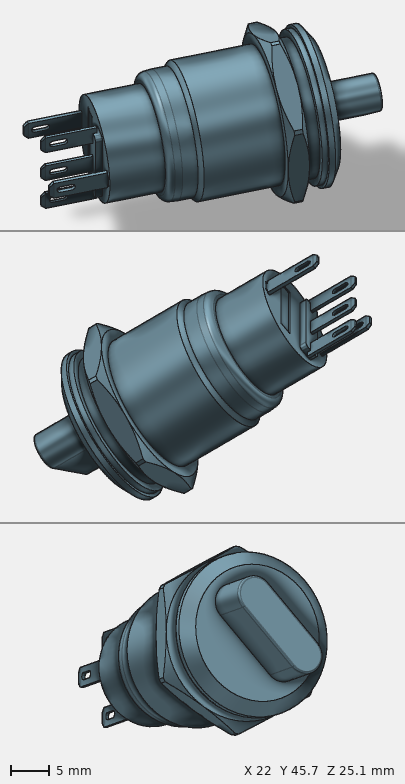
import cadquery as cq
import math

total_length = 45.7

bezel_front = 6.63
bezel_cone_end = 7.85
bezel_back = 8.75
gasket_back = 9.55
nut_front = 11.42
nut_back = 14.35
barrel_back = 26.05
collar_taper_start = 28.15
collar_back = 30.05
base_back = 37.65

bezel_diameter = 22.0
bezel_face_diameter = 18.3
gasket_diameter = 21.0
barrel_diameter = 19.0
collar_diameter = 17.7
collar_end_diameter = 15.5
base_diameter = 14.6
barrel_chamfer = 0.65
collar_round_radius = 1.0

knob_width = 5.1
knob_flat_length = 10.37
knob_angle = 45.0
knob_edge_radius = 0.27

nut_sides = 6
nut_across_flats = 22.0
nut_corner_diameter = 25.05
nut_chamfer_angle = 30.0

rib_x = 2.45
rib_width = 2.65
rib_length = 10.88
rib_height = 0.95
rib_corner_radius = 0.6
recess_x = -2.1
recess_width = 1.95
recess_length = 9.5
recess_depth = 0.2
notch_outer_x = 6.6
notch_length = 1.6

terminal_width = 2.65
terminal_tip_length = 0.6
terminal_tip_bevel = 0.05
terminal_hole_start = 42.1
terminal_hole_end = 44.55
terminal_hole_width = 0.95
contact_thickness = 0.4
contact_pitch = 5.03
contact_start = 38.05
lamp_terminal_x = 6.0
lamp_terminal_thickness = 0.5
lamp_terminal_end = 45.6
lamp_terminal_embed = 0.7


def prism(profile, start, end):
    """Extrude a profile drawn in (x, z) between two axial positions."""
    return profile.extrude(end - start).translate((0, -start, 0))


def cross_section():
    """Sketch plane across the axis; its local x is X and its local y is Z."""
    return cq.Workplane("XZ")


def revolve_about_axis(profile):
    """Turn a half profile drawn in (radius, -axial position) around Y."""
    return profile.close().revolve(360, (0, 0, 0), (0, 1, 0))


def housing():
    """Bezel, gasket, barrel, collar and base turned as one stepped body."""
    round_center_radius = collar_end_diameter / 2
    round_center = collar_back - collar_round_radius

    radial_gap = collar_diameter / 2 - round_center_radius
    axial_gap = round_center - collar_taper_start
    center_distance = math.hypot(radial_gap, axial_gap)
    tangent_angle = math.atan2(radial_gap, -axial_gap) - math.acos(collar_round_radius / center_distance)

    def on_round(angle):
        return (
            round_center_radius + collar_round_radius * math.sin(angle),
            -(round_center + collar_round_radius * math.cos(angle)),
        )

    profile = (
        cq.Workplane("XY")
        .moveTo(0, -bezel_front)
        .lineTo(bezel_face_diameter / 2, -bezel_front)
        .lineTo(bezel_diameter / 2, -bezel_cone_end)
        .lineTo(bezel_diameter / 2, -bezel_back)
        .lineTo(gasket_diameter / 2, -bezel_back)
        .lineTo(gasket_diameter / 2, -gasket_back)
        .lineTo(barrel_diameter / 2, -gasket_back)
        .lineTo(barrel_diameter / 2, -(barrel_back - barrel_chamfer))
        .lineTo(collar_diameter / 2, -barrel_back)
        .lineTo(collar_diameter / 2, -collar_taper_start)
        .lineTo(*on_round(tangent_angle))
        .threePointArc(on_round(tangent_angle / 2), on_round(0))
        .lineTo(base_diameter / 2, -collar_back)
        .lineTo(base_diameter / 2, -base_back)
        .lineTo(0, -base_back)
    )
    return revolve_about_axis(profile)


def knob():
    """Selector bar standing on the bezel, with its outer edge rounded."""
    outline = cross_section().slot2D(knob_flat_length + knob_width, knob_width, knob_angle)
    bar = prism(outline, 0, bezel_front)
    return bar.faces(">Y").edges().fillet(knob_edge_radius)


def nut():
    """Hexagon cut down to a disc whose rims are beveled toward the flats."""
    flat_radius = nut_across_flats / 2
    corner_diameter = nut_across_flats / math.cos(math.pi / nut_sides)
    outline = cross_section().polygon(nut_sides, corner_diameter)
    hexagon = prism(outline, nut_front, nut_back).rotate((0, 0, 0), (0, 1, 0), 180 / nut_sides)
    corner_radius = nut_corner_diameter / 2
    bevel = (corner_radius - flat_radius) * math.tan(math.radians(nut_chamfer_angle))
    disc = revolve_about_axis(
        cq.Workplane("XY")
        .moveTo(0, -nut_front)
        .lineTo(flat_radius, -nut_front)
        .lineTo(corner_radius, -(nut_front + bevel))
        .lineTo(corner_radius, -(nut_back - bevel))
        .lineTo(flat_radius, -nut_back)
        .lineTo(0, -nut_back)
    )
    return hexagon.intersect(disc)


def contact_rib():
    """Raised block with rounded corners that carries the row of contacts."""
    outline = cross_section().center(rib_x, 0).rect(rib_width, rib_length)
    rib = prism(outline, base_back, base_back + rib_height)
    return rib.edges("|Y").fillet(rib_corner_radius)


def face_recess():
    """Shallow rectangular label recess in the base."""
    outline = cross_section().center(recess_x, 0).rect(recess_width, recess_length)
    return prism(outline, base_back - recess_depth, base_back)


def lamp_notch(side):
    """Shallow notch in the base against the outer face of a lamp terminal."""
    width = notch_outer_x - lamp_terminal_x
    center_x = side * (notch_outer_x + lamp_terminal_x) / 2
    outline = cross_section().center(center_x, 0).rect(width, notch_length)
    return prism(outline, base_back - recess_depth, base_back)


def terminal(x, z, thickness, start, end):
    """Flat solder lug with a beveled, corner-cut tip and a wire slot."""
    blade = prism(cross_section().center(x, z).rect(thickness, terminal_width), start, end)
    blade = blade.faces("<Y").edges("|X").chamfer(terminal_tip_length)
    tapered_side = (
        cq.Workplane("XY", origin=(x, 0, z))
        .moveTo(-thickness / 2, -start)
        .lineTo(thickness / 2, -start)
        .lineTo(thickness / 2, terminal_tip_length - end)
        .lineTo(thickness / 2 - terminal_tip_bevel, -end)
        .lineTo(terminal_tip_bevel - thickness / 2, -end)
        .lineTo(-thickness / 2, terminal_tip_length - end)
        .close()
        .extrude(terminal_width / 2, both=True)
    )
    blade = blade.intersect(tapered_side)
    hole_center = (terminal_hole_start + terminal_hole_end) / 2
    hole = (
        cq.Workplane("YZ", origin=(x, -hole_center, z))
        .slot2D(terminal_hole_end - terminal_hole_start, terminal_hole_width)
        .extrude(thickness, both=True)
    )
    return blade.cut(hole)


result = housing().union(knob()).union(nut()).union(contact_rib()).cut(face_recess())

for side in (-1, 1):
    lamp_start = base_back - lamp_terminal_embed
    lamp_terminal = terminal(side * lamp_terminal_x, 0, lamp_terminal_thickness, lamp_start, lamp_terminal_end)
    result = result.cut(lamp_notch(side)).union(lamp_terminal)

for row in (-1, 0, 1):
    contact = terminal(rib_x, row * contact_pitch, contact_thickness, contact_start, total_length)
    result = result.union(contact)